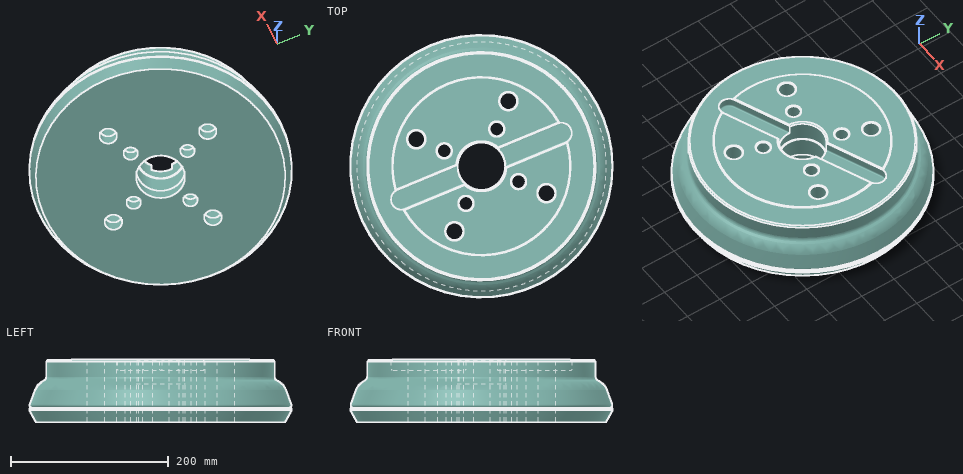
import cadquery as cq
import math

OVERALL_HEIGHT = 80.0

RIM_RADIUS = 166.5
RIM_BOTTOM = 15.3
BASE_HEIGHT = 18.3
BASE_CHAMFER = 1.0
BASE_CONE_ANGLE = 29.0

COVER_RADIUS = 167.5
COVER_CONE_ANGLE = 20.0
COVER_EDGE_FILLET = 3.3
SHOULDER_HEIGHT = 48.0
SHOULDER_ANGLE = 30.0
SHOULDER_FILLET = 20.0
COLLAR_RADIUS = 289.5 / 2
COLLAR_FILLET = 4.5
COLLAR_CHAMFER = 2.0

PAD_RADIUS = 113.0
PAD_HEIGHT = 1.0
COVER_TOP = OVERALL_HEIGHT - PAD_HEIGHT

BORE_RADIUS = 60.0 / 2
BORE_CHAMFER = 2.0
LOWER_BORE_RADIUS = 62.0 / 2
BORE_STEP_HEIGHT = 48.5

HOLES_PER_RING = 4
HOLE_START_ANGLE = 67.5
HOLE_CHAMFER = 1.0
INNER_HOLE_RADIUS = 18.0 / 2
INNER_RING_RADIUS = 51.0
OUTER_HOLE_RADIUS = 22.0 / 2
OUTER_RING_RADIUS = 89.0

SLOT_ANGLE = 22.5
SLOT_WIDTH = 26.0
SLOT_END_OFFSET = 109.8
SLOT_DEPTH = 14.0
SLOT_FLOOR_FILLET = 2.0
SLOT_FLOOR = OVERALL_HEIGHT - SLOT_DEPTH


def tangent(degrees):
    return math.tan(math.radians(degrees))


def cylinder(radius, bottom, top):
    return cq.Workplane("XY").workplane(offset=bottom).circle(radius).extrude(top - bottom)


def revolved(profile):
    """Turn a closed (radius, height) outline about the Z axis."""
    return cq.Workplane("XZ").polyline(profile).close().revolve(360, (0, 0), (0, 1))


def round_edge(solid, height, radius):
    """Fillet the circular edge that lies at the given height."""
    edge = solid.edges(cq.selectors.NearestToPointSelector((0, 0, height)))
    return edge.fillet(radius)


def chamfered_hole(radius, chamfer):
    """Full-height hole cutter that flares at the top face."""
    flare_bottom = cq.Vector(0, 0, OVERALL_HEIGHT - chamfer)
    flare = cq.Solid.makeCone(radius, radius + chamfer, chamfer, flare_bottom)
    return cylinder(radius, 0, OVERALL_HEIGHT).union(cq.Workplane(flare))


def ring_holes(hole_radius, ring_radius):
    hole = chamfered_hole(hole_radius, HOLE_CHAMFER).translate((ring_radius, 0, 0))
    cutters = cq.Workplane("XY")
    for index in range(HOLES_PER_RING):
        angle = HOLE_START_ANGLE + index * 360 / HOLES_PER_RING
        cutters = cutters.add(hole.rotate((0, 0, 0), (0, 0, 1), angle))
    return cutters.combine()


def cut_holes(body):
    """Cut the lower bore and both rings of holes."""
    body = body.cut(cylinder(LOWER_BORE_RADIUS, 0, BORE_STEP_HEIGHT))
    body = body.cut(ring_holes(INNER_HOLE_RADIUS, INNER_RING_RADIUS))
    return body.cut(ring_holes(OUTER_HOLE_RADIUS, OUTER_RING_RADIUS))


def slot():
    """Slot cutter with a fillet around its floor."""
    length = 2 * SLOT_END_OFFSET + SLOT_WIDTH
    cutter = cq.Workplane("XY").workplane(offset=SLOT_FLOOR)
    cutter = cutter.slot2D(length, SLOT_WIDTH, SLOT_ANGLE).extrude(SLOT_DEPTH)
    return cutter.faces("<Z").edges().fillet(SLOT_FLOOR_FILLET)


def slot_edge_chamfers():
    """Tapered prism that slopes the pad's edges along the slot, like the pad's rim."""
    half_bottom = SLOT_WIDTH / 2
    half_top = half_bottom + PAD_HEIGHT
    section = [
        (-half_bottom, COVER_TOP),
        (half_bottom, COVER_TOP),
        (half_top, OVERALL_HEIGHT),
        (-half_top, OVERALL_HEIGHT),
    ]
    prism = cq.Workplane("YZ").polyline(section).close().extrude(PAD_RADIUS, both=True)
    return prism.rotate((0, 0, 0), (0, 0, 1), SLOT_ANGLE)


def make_base():
    bottom_radius = RIM_RADIUS - RIM_BOTTOM * tangent(BASE_CONE_ANGLE)
    body = revolved(
        [
            (0, 0),
            (bottom_radius, 0),
            (RIM_RADIUS, RIM_BOTTOM),
            (RIM_RADIUS, BASE_HEIGHT),
            (0, BASE_HEIGHT),
        ]
    )
    body = body.faces(">Z").chamfer(BASE_CHAMFER)
    return cut_holes(body)


def make_cover():
    cone_rise = SHOULDER_HEIGHT - BASE_HEIGHT
    shoulder_radius = COVER_RADIUS - cone_rise * tangent(COVER_CONE_ANGLE)
    shoulder_run = shoulder_radius - COLLAR_RADIUS
    collar_base = SHOULDER_HEIGHT + shoulder_run * tangent(SHOULDER_ANGLE)
    body = revolved(
        [
            (0, BASE_HEIGHT),
            (COVER_RADIUS, BASE_HEIGHT),
            (shoulder_radius, SHOULDER_HEIGHT),
            (COLLAR_RADIUS, collar_base),
            (COLLAR_RADIUS, COVER_TOP),
            (0, COVER_TOP),
        ]
    )
    body = body.faces(">Z").chamfer(COLLAR_CHAMFER)
    body = round_edge(body, BASE_HEIGHT, COVER_EDGE_FILLET)
    body = round_edge(body, SHOULDER_HEIGHT, SHOULDER_FILLET)
    body = round_edge(body, collar_base, COLLAR_FILLET)

    pad = cq.Solid.makeCone(
        PAD_RADIUS, PAD_RADIUS - PAD_HEIGHT, PAD_HEIGHT, cq.Vector(0, 0, COVER_TOP)
    )
    body = body.union(cq.Workplane(pad))

    body = body.cut(chamfered_hole(BORE_RADIUS, BORE_CHAMFER))
    body = cut_holes(body)
    return body.cut(slot()).cut(slot_edge_chamfers())


base = make_base()
cover = make_cover()

result = cq.Compound.makeCompound([base.solids().val(), cover.solids().val()])